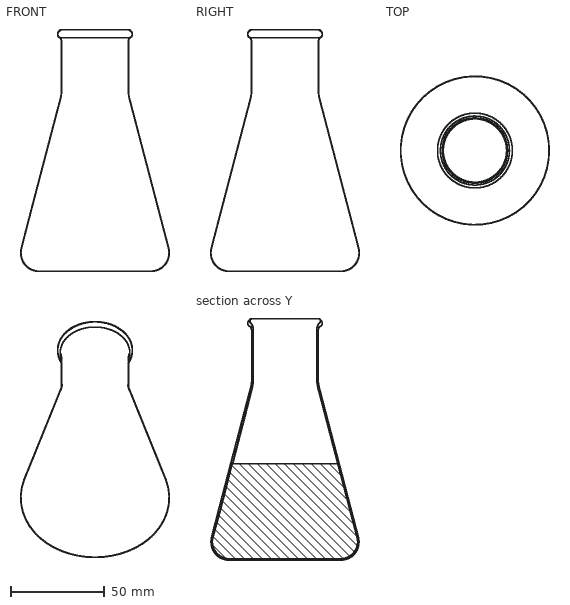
import cadquery as cq
import math

height = 130.0
body_diameter = 80.0
neck_diameter = 36.1
bore_diameter = 34.0
heel_radius = 10.0
neck_fillet_radius = 16.4
neck_bottom_z = 97.1

lip_fillet_z = 123.6
lip_under_radius = 18.7
lip_under_z = 125.6
lip_radius = 20.2
lip_bulge_z = 127.4
lip_top_radius = 19.4
lip_top_z = 129.1
rim_outer_radius = 18.6

rim_inner_diameter = 34.7
mouth_flare_z = 124.4
groove_bottom_radius = 18.2
groove_bottom_z = 127.4
groove_radius = 18.8
groove_z = 128.5

liquid_level = 52.0

body_radius = body_diameter / 2
neck_radius = neck_diameter / 2
bore_radius = bore_diameter / 2
rim_inner_radius = rim_inner_diameter / 2
wall = neck_radius - bore_radius

heel_center_x = body_radius - heel_radius
fillet_center_x = neck_radius + neck_fillet_radius
center_dx = fillet_center_x - heel_center_x
center_dz = neck_bottom_z - heel_radius
center_distance = math.hypot(center_dx, center_dz)
cone_angle = math.atan2(center_dz, center_dx) - math.acos(
    (heel_radius + neck_fillet_radius) / center_distance
)


def body_outline(inset):
    """Half-section from the axis up to the neck, offset inwards by inset."""
    heel = heel_radius - inset
    fillet = neck_fillet_radius + inset
    normal_x = math.cos(cone_angle)
    normal_z = math.sin(cone_angle)
    return (
        cq.Workplane("XZ")
        .moveTo(0, inset)
        .lineTo(heel_center_x, inset)
        .threePointArc(
            (heel_center_x + heel * math.sqrt(0.5), heel_radius - heel * math.sqrt(0.5)),
            (heel_center_x + heel * normal_x, heel_radius + heel * normal_z),
        )
        .lineTo(fillet_center_x - fillet * normal_x, neck_bottom_z - fillet * normal_z)
        .tangentArcPoint((neck_radius - inset, neck_bottom_z), relative=False)
    )


def revolve_about_axis(outline):
    """Close a half-section and turn it about the Z axis."""
    return outline.close().revolve(360, (0, 0, 0), (0, 1, 0))


def make_cavity():
    """Inside space of the flask, with the flared and grooved mouth."""
    return revolve_about_axis(
        body_outline(wall)
        .lineTo(bore_radius, mouth_flare_z)
        .tangentArcPoint((groove_bottom_radius, groove_bottom_z), relative=False)
        .threePointArc((groove_radius, groove_z), (rim_inner_radius, height))
        .lineTo(0, height)
    )


def make_flask(cavity):
    """Thin-walled flask with a rolled lip."""
    outer = revolve_about_axis(
        body_outline(0)
        .lineTo(neck_radius, lip_fillet_z)
        .tangentArcPoint((lip_under_radius, lip_under_z), relative=False)
        .threePointArc((lip_radius, lip_bulge_z), (lip_top_radius, lip_top_z))
        .lineTo(rim_outer_radius, height)
        .lineTo(0, height)
    )
    return outer.cut(cavity)


def make_liquid(cavity):
    """Liquid: the part of the cavity below the liquid level."""
    below_level = cq.Workplane("XY").circle(body_radius).extrude(liquid_level)
    return cavity.intersect(below_level)


cavity = make_cavity()
flask = make_flask(cavity)
liquid = make_liquid(cavity)

result = cq.Compound.makeCompound([flask.val(), liquid.val()])